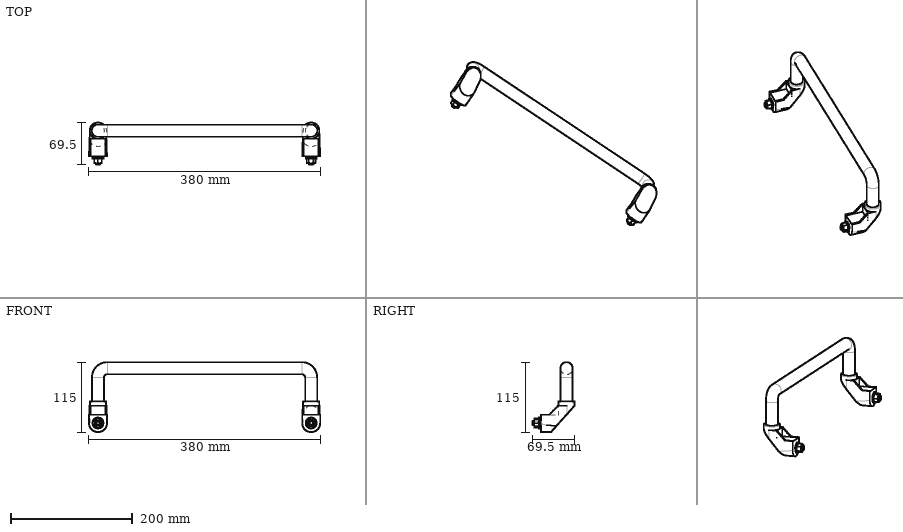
import cadquery as cq
import math

overall_length = 380.0
overall_depth = 69.5
overall_height = 115.0

tube_diameter = 20.0
bend_radius = 15.2

foot_width = 30.0
collar_diameter = 27.0
collar_top = 50.5
collar_edge_radius = 0.8
shoulder_height = 43.7
shelf_height = 29.0
front_face_y = -42.0
heel_y = -25.5
wall_thickness = 1.7
pocket_depth = 0.5

stud_diameter = 8.0
stud_chamfer = 1.0
washer_diameter = 18.2
washer_thickness = 1.5
washer_gap = 2.3
nut_across_flats = 13.0
nut_face_diameter = 14.0
nut_height = 7.2

foot_radius = foot_width / 2
collar_radius = collar_diameter / 2
stud_length = overall_depth - collar_radius + front_face_y
leg_x = overall_length / 2 - foot_radius
tube_axis_height = overall_height - tube_diameter / 2
shelf_back_y = -collar_radius - (shoulder_height - shelf_height)


def make_tube():
    """Round tube: two legs joined to a long bar by quarter bends."""
    bend_start_x = leg_x - bend_radius
    bend_start_z = tube_axis_height - bend_radius
    bend_offset = bend_radius * math.sin(math.radians(45))
    bend_mid_x = bend_start_x + bend_offset
    bend_mid_z = bend_start_z + bend_offset
    path = (
        cq.Workplane("XZ")
        .moveTo(-leg_x, shoulder_height)
        .lineTo(-leg_x, bend_start_z)
        .threePointArc((-bend_mid_x, bend_mid_z), (-bend_start_x, tube_axis_height))
        .lineTo(bend_start_x, tube_axis_height)
        .threePointArc((bend_mid_x, bend_mid_z), (leg_x, bend_start_z))
        .lineTo(leg_x, shoulder_height)
    )
    return (
        cq.Workplane("XY", origin=(-leg_x, 0, shoulder_height))
        .circle(tube_diameter / 2)
        .sweep(path)
    )


def make_foot_body():
    """Foot centred on X = 0: a collar that slants forward into a round-bottomed block."""
    side_profile = (
        cq.Workplane("YZ")
        .polyline([
            (collar_radius, collar_top),
            (collar_radius, shoulder_height),
            (heel_y, 0),
            (front_face_y, 0),
            (front_face_y, shelf_height),
            (shelf_back_y, shelf_height),
            (-collar_radius, shoulder_height),
            (-collar_radius, collar_top),
        ])
        .close()
        .extrude(foot_radius, both=True)
    )

    tapered_block = (
        cq.Workplane("XY")
        .polyline([
            (-collar_radius, 0),
            (collar_radius, 0),
            (foot_radius, front_face_y),
            (-foot_radius, front_face_y),
        ])
        .close()
        .extrude(shoulder_height)
    )
    round_bottom = (
        cq.Workplane("XZ")
        .moveTo(-foot_radius, shoulder_height)
        .lineTo(-foot_radius, foot_radius)
        .threePointArc((0, 0), (foot_radius, foot_radius))
        .lineTo(foot_radius, shoulder_height)
        .close()
        .extrude(-front_face_y)
    )
    collar = (
        cq.Workplane("XY")
        .circle(collar_radius)
        .extrude(collar_top)
        .faces(">Z")
        .fillet(collar_edge_radius)
    )
    body = side_profile.intersect(tapered_block.intersect(round_bottom).union(collar))

    pocket_length = -collar_radius - front_face_y
    pocket = (
        cq.Workplane("XY", origin=(0, front_face_y, shelf_height - pocket_depth))
        .rect(collar_diameter - 2 * wall_thickness, 2 * pocket_length)
        .extrude(collar_top)
    )
    return body.cut(pocket)


def make_stud(nut_angle):
    """Stud, washer and hexagonal nut on the mounting face, centred on X = 0."""
    stud = (
        cq.Workplane("XZ", origin=(0, front_face_y, foot_radius))
        .circle(stud_diameter / 2)
        .extrude(stud_length)
        .faces("<Y")
        .chamfer(stud_chamfer)
    )
    washer = (
        cq.Workplane("XZ", origin=(0, front_face_y - washer_gap, foot_radius))
        .circle(washer_diameter / 2)
        .extrude(washer_thickness)
    )
    nut_across_corners = nut_across_flats / math.cos(math.radians(30))
    nut_plane = cq.Workplane("XZ", origin=(0, front_face_y - washer_gap - washer_thickness, foot_radius))
    hexagon = (
        nut_plane
        .transformed(rotate=(0, 0, nut_angle))
        .polygon(6, nut_across_corners)
        .extrude(nut_height)
    )
    corner_bevel = (nut_across_corners - nut_face_diameter) / 2
    turned_blank = (
        nut_plane
        .circle(nut_across_corners / 2)
        .extrude(nut_height)
        .faces("<Y or >Y")
        .chamfer(corner_bevel)
    )
    nut = hexagon.intersect(turned_blank)
    return stud.union(washer).union(nut)


result = make_tube()
for side, nut_angle in ((-1, 30), (1, 0)):
    foot = make_foot_body().union(make_stud(nut_angle))
    result = result.union(foot.translate((side * leg_x, 0, 0)))